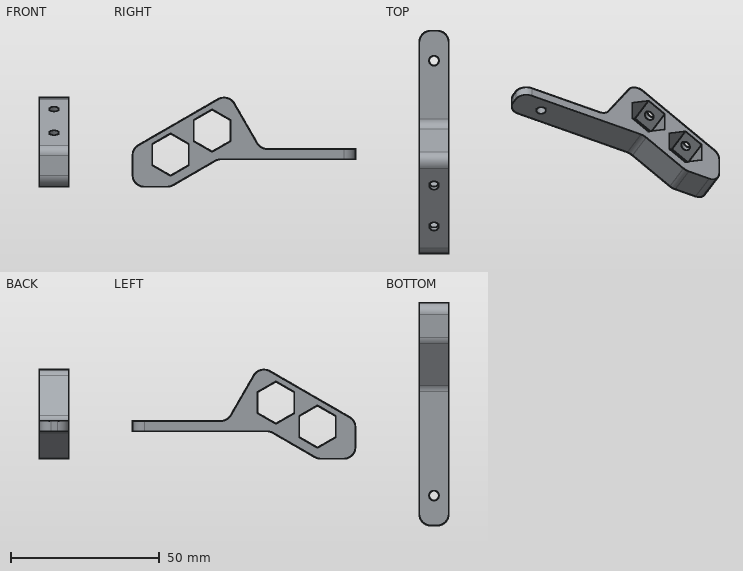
import cadquery as cq
import math

width = 10.0
length = 75.0
corner_radius = 4.0

arm_bottom = 9.2
arm_thickness = 3.5
arm_top = arm_bottom + arm_thickness
arm_hole_to_end = 10.1

tilt = math.radians(30)
peak_y = 32.25
peak_z = 31.5
underside_bend_y = 28.7

hex_across_flats = 12.2
hex_pitch = 16.1
first_hex_y = 26.8
first_hex_z = 18.9
screw_pitch = 15.9
screw_shift = 0.3
hole_diameter = 3.2

rear_foot_y = peak_y + (peak_z - arm_top) * math.tan(tilt)
front_top_z = peak_z - peak_y * math.tan(tilt)
underside_front_y = underside_bend_y - arm_bottom / math.tan(tilt)
outline = [
    (0, 0),
    (0, front_top_z),
    (peak_y, peak_z),
    (rear_foot_y, arm_top),
    (length, arm_top),
    (length, arm_bottom),
    (underside_bend_y, arm_bottom),
    (underside_front_y, 0),
]
body = cq.Workplane("YZ").polyline(outline).close().extrude(width / 2, both=True)

tip_clearance = 0.75
head_edges = cq.selectors.BoxSelector(
    (-width, -length, -length), (width, length - tip_clearance, length)
)
body = body.edges("|X").edges(head_edges).fillet(corner_radius)

body = body.faces(">Y").edges("|Z").fillet(corner_radius)


def hex_window(y, z):
    """Hexagonal prism through the full width, with a corner pointing up."""
    circumscribed_diameter = hex_across_flats / math.cos(math.pi / 6)
    return (
        cq.Workplane("YZ", origin=(0, y, z))
        .transformed(rotate=(0, 0, 90))
        .polygon(6, circumscribed_diameter)
        .extrude(width, both=True)
    )


def screw_hole(y, z):
    """Hole from inside a window out through the sloping top face."""
    outward = cq.Vector(0, -math.sin(tilt), math.cos(tilt))
    return cq.Workplane(obj=cq.Solid.makeCylinder(
        hole_diameter / 2, hex_across_flats, cq.Vector(0, y, z), outward
    ))


def point_along_slope(distance):
    """Y and Z of a point this far down the slope from the first window centre."""
    y = first_hex_y - distance * math.cos(tilt)
    z = first_hex_z - distance * math.sin(tilt)
    return y, z


for index in range(2):
    body = body.cut(hex_window(*point_along_slope(index * hex_pitch)))
    body = body.cut(screw_hole(*point_along_slope(index * screw_pitch - screw_shift)))

arm_hole = (
    cq.Workplane("XY", origin=(0, length - arm_hole_to_end, arm_bottom))
    .circle(hole_diameter / 2)
    .extrude(arm_thickness)
)
result = body.cut(arm_hole)